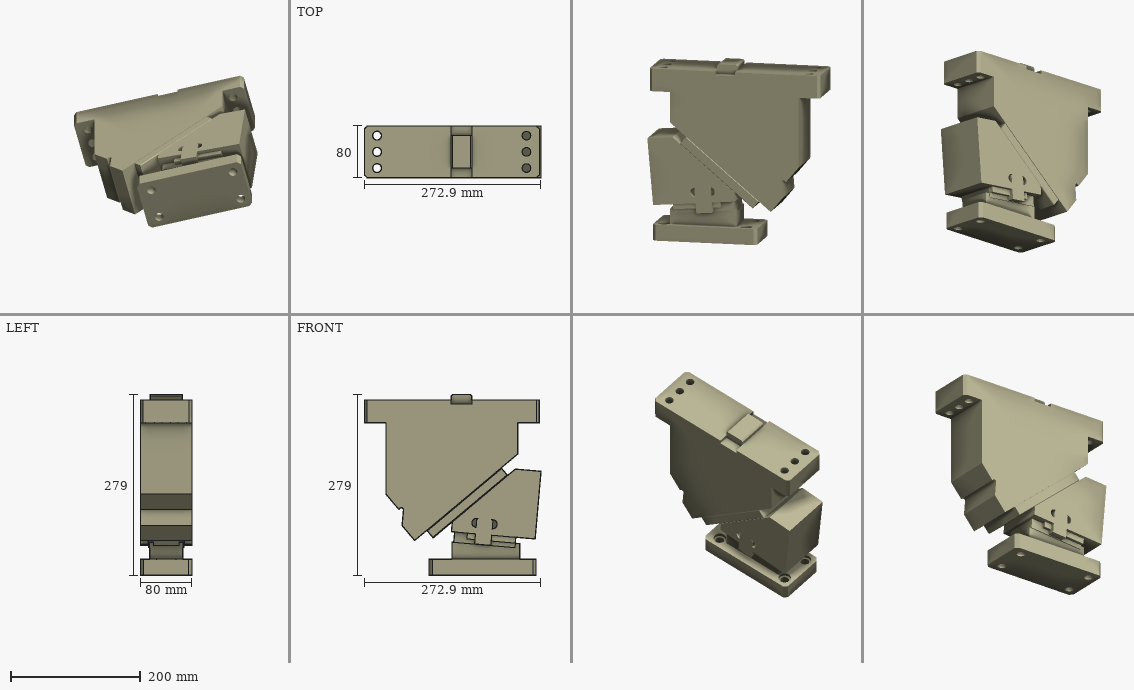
import cadquery as cq
import math

unit_width = 80.0
half_width = unit_width / 2
max_reach_x = 272.93

plate_length = 270.0
plate_top = 270.5
plate_thickness = 35.5
plate_bottom = plate_top - plate_thickness
plate_chamfer = 4.5
block_left = 33.25
block_right = 237.0
mount_hole_diameter = 13.25
mount_hole_inset = 19.75
mount_hole_pitch = 25.0
key_center_x = 150.0
key_width = 32.0
key_length = 50.0
key_height = 14.5
key_seat_depth = 6.0
key_chamfer = 2.3
toe_x = 77.7
heel_wall_x = 58.2
heel_notch_x = 53.2
heel_notch_z = 101.5
undercut_radius = 3.0

strip_thickness = 15.25
strip_start = 24.5
strip_length = 150.0
strip_edge_chamfer = 1.0

slide_angle = 5.0
incline_in_slider = 45.0
slider_length = 130.0
slider_height = 105.0
slider_top_length = 40.0
slider_top_right_z = 160.5
tab_center = 50.0
tab_width = 25.0
tab_left = tab_center - tab_width / 2
tab_right = tab_center + tab_width / 2
tab_top_chamfer = 2.0
tab_thickness = 12.0
tab_relief = 0.4
window_radius = 7.0
window_height = 17.0
keeper_start = 25.0
keeper_end = 100.0
keeper_height = 9.0
keeper_outer_y = 34.0

foot_left = 99.75
foot_length = 165.5
foot_thickness = 25.0
foot_chamfer = 5.25
foot_hole_diameter = 13.5
foot_bore_diameter = 19.3
foot_bore_depth = 5.5
foot_hole_left = 120.0
foot_hole_right = 250.0
foot_hole_offset_y = 24.5
post_left = 135.0
post_right = 240.0
post_width = 51.5
guide_start = 5.0
guide_end = 100.0
guide_thickness = 16.0
guide_width = 55.0
notch_width = 40.0
notch_depth = 5.0

slide = math.radians(slide_angle)
incline = math.radians(incline_in_slider - slide_angle)
slider_origin_x = max_reach_x - slider_height * math.sin(slide) - slider_length * math.cos(slide)
slider_origin_z = slider_top_right_z - slider_height * math.cos(slide) + slider_length * math.sin(slide)


def slide_point(along, above):
    """X, Z of a point given along and above the slider's underside, from its left corner."""
    x = slider_origin_x + along * math.cos(slide) + above * math.sin(slide)
    z = slider_origin_z - along * math.sin(slide) + above * math.cos(slide)
    return x, z


def extrude_xz(points, y_from, y_to):
    """Prism with an outline in X, Z, running from one Y to another."""
    return cq.Workplane("XZ", origin=(0, y_from, 0)).polyline(points).close().extrude(y_from - y_to)


def slide_prism(points, y_from, y_to):
    """Prism with an outline given in the slider's tilted frame."""
    return extrude_xz([slide_point(*point) for point in points], y_from, y_to)


def slide_block(start, end, bottom, top, y_from, y_to):
    """Rectangular block lying in the slider's tilted frame."""
    corners = [(start, bottom), (end, bottom), (end, top), (start, top)]
    return slide_prism(corners, y_from, y_to)


incline_run = slider_length - slider_top_length
slider_left_height = slider_height - incline_run * math.tan(math.radians(incline_in_slider))
slider_heel_x, slider_heel_z = slide_point(0, slider_left_height)


def housing_face_z(x):
    """Height of the housing's inclined face, one strip thickness off the slider's."""
    return slider_heel_z + strip_thickness / math.cos(incline) + (x - slider_heel_x) * math.tan(incline)


def make_mounting_plate():
    plate = (
        cq.Workplane("XY", origin=(plate_length / 2, 0, plate_bottom))
        .rect(plate_length, unit_width)
        .extrude(plate_thickness)
        .edges("|Z")
        .chamfer(plate_chamfer)
    )
    hole_spots = [
        (x, row * mount_hole_pitch)
        for x in (mount_hole_inset, plate_length - mount_hole_inset)
        for row in (-1, 0, 1)
    ]
    holes = (
        cq.Workplane("XY", origin=(0, 0, plate_bottom))
        .pushPoints(hole_spots)
        .circle(mount_hole_diameter / 2)
        .extrude(plate_thickness)
    )
    return plate.cut(holes)


def make_block():
    """Wedge block; its heel faces stand square to the incline, with an undercut between them."""
    heel_slope = 1 / math.tan(incline)
    toe_z = housing_face_z(toe_x)
    heel_wall_z = toe_z + (toe_x - heel_wall_x) * heel_slope
    heel_top_z = heel_notch_z + (heel_notch_x - block_left) * heel_slope
    wall_lean = math.tan(slide)
    rise = math.tan(incline)
    wall_foot_gap = heel_wall_x - heel_notch_x - (heel_wall_z - heel_notch_z) * wall_lean
    run = wall_foot_gap / (1 - rise * wall_lean)
    corner = (heel_notch_x + run, heel_notch_z + run * rise)
    outline = [
        (block_left, plate_bottom),
        (block_left, heel_top_z),
        (heel_notch_x, heel_notch_z),
        corner,
        (heel_wall_x, heel_wall_z),
        (toe_x, toe_z),
        (block_right, housing_face_z(block_right)),
        (block_right, plate_bottom),
    ]
    block = extrude_xz(outline, -half_width, half_width)
    undercut_edge = cq.selectors.NearestToPointSelector((corner[0], 0, corner[1]))
    return block.edges(undercut_edge).fillet(undercut_radius)


def make_key_seat():
    return cq.Workplane("XY", origin=(key_center_x, 0, plate_top - key_seat_depth)).box(
        key_width, unit_width, key_seat_depth, centered=(True, True, False)
    )


def make_key():
    return (
        cq.Workplane("XY", origin=(key_center_x, 0, plate_top - key_seat_depth))
        .box(key_width, key_length, key_height, centered=(True, True, False))
        .edges(">Z and |Y")
        .chamfer(key_chamfer)
    )


def make_wear_strip():
    """Strip laid along the incline, its long edges chamfered."""
    along_incline = cq.Vector(math.cos(incline), 0, math.sin(incline))
    inclined_face = cq.Plane(
        origin=(toe_x, 0, housing_face_z(toe_x)),
        xDir=along_incline,
        normal=(-math.sin(incline), 0, math.cos(incline)),
    )
    return (
        cq.Workplane(inclined_face)
        .center(strip_start + strip_length / 2, 0)
        .rect(strip_length, unit_width)
        .extrude(-strip_thickness)
        .edges(cq.selectors.ParallelDirSelector(along_incline))
        .chamfer(strip_edge_chamfer)
    )


def make_housing():
    body = make_mounting_plate().union(make_block()).cut(make_key_seat())
    return body.union(make_key()).union(make_wear_strip())


def make_side_guide(side):
    """Tab and keeper hanging below one side of the slider."""
    inner = side * (half_width - tab_thickness)
    step = side * keeper_outer_y
    outer_tab = slide_block(tab_left, tab_right, -guide_thickness, 0, step, side * half_width)
    inner_tab = slide_block(tab_left, tab_right, tab_relief - guide_thickness, 0, inner, step)
    keeper = slide_block(keeper_start, keeper_end, -keeper_height, 0, inner, step)
    return outer_tab.union(inner_tab).union(keeper)


def make_window(side):
    """Round-ended pocket in one side, filled by the tab except for its two ends."""
    inner = side * (half_width - tab_thickness)
    outer = side * half_width
    window_top = window_height + window_radius
    window_bottom = window_height - window_radius
    pocket = slide_block(tab_left, tab_right, window_bottom, window_top, inner, outer)
    for end in (tab_left, tab_right):
        x, z = slide_point(end, window_height)
        round_end = (
            cq.Workplane("XZ", origin=(x, inner, z)).circle(window_radius).extrude(inner - outer)
        )
        pocket = pocket.union(round_end)
    tab_head = slide_prism(
        [
            (tab_left, window_bottom),
            (tab_right, window_bottom),
            (tab_right, window_top - tab_top_chamfer),
            (tab_right - tab_top_chamfer, window_top),
            (tab_left + tab_top_chamfer, window_top),
            (tab_left, window_top - tab_top_chamfer),
        ],
        inner,
        outer,
    )
    return pocket.cut(tab_head)


def make_slider():
    body = slide_prism(
        [
            (0, 0),
            (slider_length, 0),
            (slider_length, slider_height),
            (slider_length - slider_top_length, slider_height),
            (0, slider_left_height),
        ],
        -half_width,
        half_width,
    )
    for side in (-1, 1):
        body = body.union(make_side_guide(side)).cut(make_window(side))
    return body


def make_foot():
    foot = (
        cq.Workplane("XY", origin=(foot_left + foot_length / 2, 0, 0))
        .rect(foot_length, unit_width)
        .extrude(foot_thickness)
        .edges("|Z")
        .chamfer(foot_chamfer)
    )
    hole_spots = [
        (x, side * foot_hole_offset_y)
        for x in (foot_hole_left, foot_hole_right)
        for side in (-1, 1)
    ]
    return (
        foot.faces(">Z")
        .workplane(origin=(0, 0, foot_thickness))
        .pushPoints(hole_spots)
        .cboreHole(foot_hole_diameter, foot_bore_diameter, foot_bore_depth)
    )


def tilted_z(x, above):
    """Height at X of a plane parallel to the slide, given above the slider's underside."""
    return slider_origin_z + above / math.cos(slide) - (x - slider_origin_x) * math.tan(slide)


def make_post():
    """Post with a tilted top, a stop at its right end and a notch in its left face."""
    stop_foot_x, stop_foot_z = slide_point(guide_end, -guide_thickness)
    stop_top_x, stop_top_z = slide_point(guide_end, -keeper_height)
    outline = [
        (post_left, foot_thickness),
        (post_right, foot_thickness),
        (post_right, tilted_z(post_right, -keeper_height)),
        (stop_top_x, stop_top_z),
        (stop_foot_x, stop_foot_z),
        (post_left, tilted_z(post_left, -guide_thickness)),
    ]
    post = extrude_xz(outline, -post_width / 2, post_width / 2)
    notch_floor = -guide_thickness - notch_depth
    notch = slide_block(
        -guide_start, guide_start, notch_floor, -guide_thickness, -notch_width / 2, notch_width / 2
    )
    return post.cut(notch)


def make_base():
    guide = slide_block(guide_start, guide_end, -guide_thickness, 0, -guide_width / 2, guide_width / 2)
    return make_foot().union(make_post()).union(guide)


housing = make_housing()
slider = make_slider()
base = make_base()

result = cq.Compound.makeCompound([body.solids().val() for body in (housing, slider, base)])